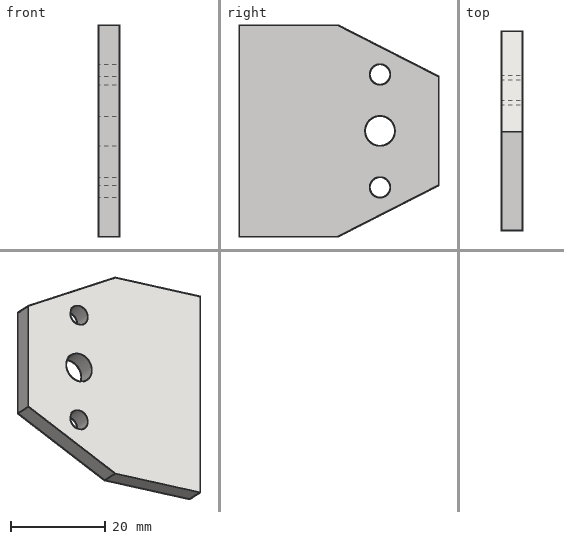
import cadquery as cq
import math

thickness = 4.5
length = 42.43
height = 45.0

straight_length = 21.0
taper_angle = 27.0
taper_drop = (length - straight_length) * math.tan(math.radians(taper_angle))

hole_row_from_tip = 12.5
hole_row_y = length - hole_row_from_tip
center_hole_diameter = 6.3
side_hole_diameter = 4.3
side_hole_offset = 12.0


def make_plate():
    """Plate profile in the YZ plane, symmetric about Z = 0, extruded along X."""
    half_height = height / 2
    half_tip = half_height - taper_drop
    profile = [
        (0, -half_height),
        (straight_length, -half_height),
        (length, -half_tip),
        (length, half_tip),
        (straight_length, half_height),
        (0, half_height),
    ]
    return cq.Workplane("YZ").polyline(profile).close().extrude(thickness)


def make_hole(z, diameter):
    """Cylinder that cuts a through hole in the hole row at height z."""
    return (
        cq.Workplane("YZ")
        .center(hole_row_y, z)
        .circle(diameter / 2)
        .extrude(thickness)
    )


result = make_plate()
result = result.cut(make_hole(0, center_hole_diameter))
for side in (-1, 1):
    result = result.cut(make_hole(side * side_hole_offset, side_hole_diameter))